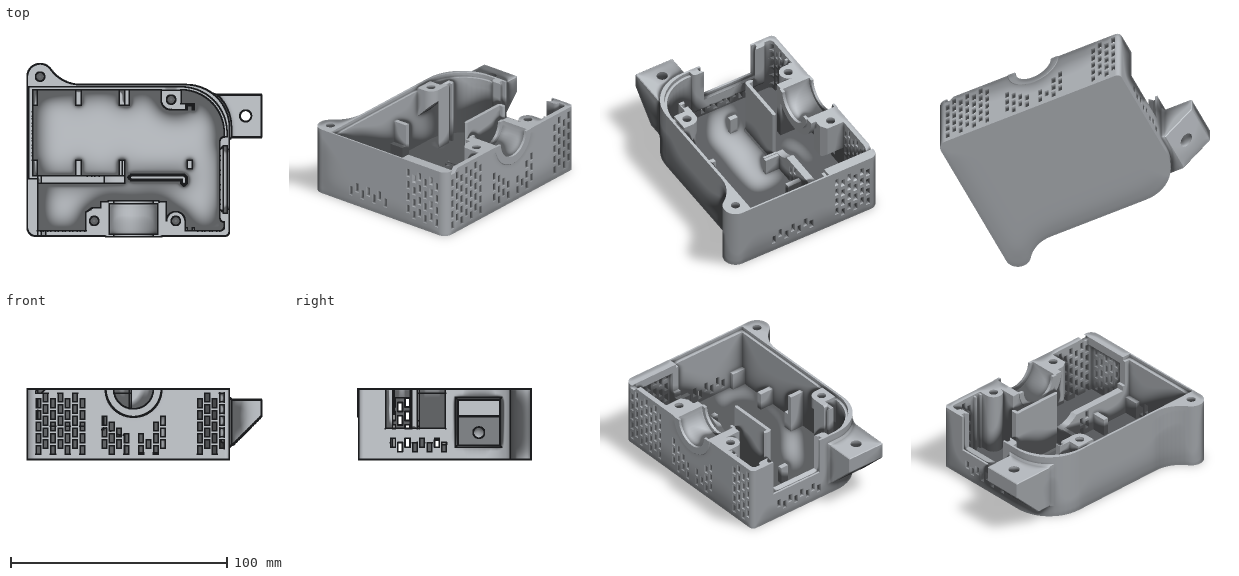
import cadquery as cq
import math

EPS = 0.01
OVER = 5.0

BODY_L = 93.65
BODY_W = 70.25
HEIGHT = 32.7
WALL = 2.5
CURVED_WALL = 2.4
FLOOR = 2.5
THICK_LEFT = 5.0
OVERHANG_Z = 28.6
DIVIDER_FRONT = 24.5

CORNER_R = 20.0
CORNER_X = BODY_L - CORNER_R
CORNER_Y = BODY_W - CORNER_R
FRONT_LEFT_R = 4.0
FRONT_RIGHT_R = 2.3

LUG_R = 6.0
LUG_Y = 73.89
LUG_BLEND_X = 24.6

INNER_BACK = BODY_W - CURVED_WALL
INNER_RIGHT = BODY_L - CURVED_WALL
INNER_R = CORNER_R
INNER_X = INNER_RIGHT - INNER_R
INNER_Y = INNER_BACK - INNER_R
PILLAR_X = 89.25
PILLAR_FRONT = 6.5
PILLAR_BACK = 46.0
PILLAR_R = INNER_RIGHT - PILLAR_X

LEDGE_Z = 30.8
RIM_LEFT = 0.75
RIM = 1.05
LEDGE_FRONT = 26.5
BAY_FRONT = 28.0

SCREW_D = 4.2
SCREW_DEPTH = 7.0
BASE_Z = FLOOR - EPS

BORE_X = 49.25
BORE_R = 11.2
BORE_LIP_R = 9.2
LIP_FRONT = 0.9
LIP_BACK = 15.1
SADDLE_R = 15.25
SADDLE_BACK = 15.85
RING_FRONT_R = 13.1
RING_FRONT_OUT = 0.3
RING_BACK_R = 11.75
RING_BACK_END = 16.5

BRACKET_END = 108.65
BRACKET_Y0 = 45.7
BRACKET_Y1 = 65.7
BRACKET_TOP = 27.9
BRACKET_TIP_Z = 20.0
BRACKET_LOW_Z = 6.6
BRACKET_HOLE_X = 101.15
BRACKET_HOLE_D = 5.2
BRACKET_CHAMFER = 0.35
BRACKET_FLARE = 1.0

VENT_W = 2.1
VENT_PITCH = 3.4
SIDE_VENT_H = 4.1
SIDE_EVEN_Z = 3.7
SIDE_ODD_Z = 5.75


def block(x0, x1, y0, y1, z0, z1):
    return cq.Workplane("XY").box(x1 - x0, y1 - y0, z1 - z0, centered=False).translate((x0, y0, z0))


def y_cylinder(radius, y0, y1):
    """Lower half of a cylinder along Y whose axis is the bore axis."""
    rod = cq.Workplane("XZ", origin=(BORE_X, y0, HEIGHT)).circle(radius).extrude(y0 - y1)
    lower = block(BORE_X - radius, BORE_X + radius, y0, y1, HEIGHT - radius, HEIGHT)
    return rod.intersect(lower)


def prism_xz(points, y0, y1):
    return cq.Workplane("XZ", origin=(0, y0, 0)).polyline(points).close().extrude(y0 - y1)


def prism_xy(points, z0, z1):
    return cq.Workplane("XY", origin=(0, 0, z0)).polyline(points).close().extrude(z1 - z0)


def arc_point(cx, cy, radius, degrees):
    """Point on a circle at an angle from +X."""
    a = math.radians(degrees)
    return (cx + radius * math.cos(a), cy + radius * math.sin(a))


def outer_body():
    run = LUG_BLEND_X - LUG_R
    drop = LUG_Y - BODY_W
    blend_r = (run ** 2 + drop ** 2 - LUG_R ** 2) / (2 * (LUG_R + drop))
    blend_y = BODY_W + blend_r
    touch_angle = math.degrees(math.atan2(blend_y - LUG_Y, run))
    touch = arc_point(LUG_R, LUG_Y, LUG_R, touch_angle)
    front_right_mid = arc_point(BODY_L - FRONT_RIGHT_R, FRONT_RIGHT_R, FRONT_RIGHT_R, -45)
    blend_mid = arc_point(LUG_BLEND_X, blend_y, blend_r, (touch_angle + 180 + 270) / 2)
    return (
        cq.Workplane("XY")
        .moveTo(FRONT_LEFT_R, 0)
        .lineTo(BODY_L - FRONT_RIGHT_R, 0)
        .threePointArc(front_right_mid, (BODY_L, FRONT_RIGHT_R))
        .lineTo(BODY_L, CORNER_Y)
        .threePointArc(arc_point(CORNER_X, CORNER_Y, CORNER_R, 45), (CORNER_X, BODY_W))
        .lineTo(LUG_BLEND_X, BODY_W)
        .threePointArc(blend_mid, touch)
        .threePointArc(arc_point(LUG_R, LUG_Y, LUG_R, (touch_angle + 180) / 2), (0, LUG_Y))
        .lineTo(0, FRONT_LEFT_R)
        .threePointArc(arc_point(FRONT_LEFT_R, FRONT_LEFT_R, FRONT_LEFT_R, 225), (FRONT_LEFT_R, 0))
        .close()
        .extrude(HEIGHT)
    )


def add_bracket(body):
    level_x = BRACKET_END - (BRACKET_TIP_Z - BRACKET_LOW_Z)
    profile = [
        (CORNER_X, BRACKET_TOP),
        (BRACKET_END, BRACKET_TOP),
        (BRACKET_END, BRACKET_TIP_Z),
        (level_x, BRACKET_LOW_Z),
        (CORNER_X, BRACKET_LOW_Z),
    ]
    joined = body.union(prism_xz(profile, BRACKET_Y0, BRACKET_Y1))
    seam = cq.selectors.BoxSelector(
        (CORNER_X, BRACKET_Y0 - EPS, EPS),
        (BODY_L + EPS, BRACKET_Y1 + EPS, HEIGHT - EPS),
        boundingbox=True,
    )
    flared = joined.edges(seam).chamfer(BRACKET_FLARE)
    free_edges = cq.selectors.BoxSelector(
        (level_x + EPS, BRACKET_Y0 - EPS, EPS),
        (BRACKET_END + EPS, BRACKET_Y1 + EPS, HEIGHT),
    )
    flared = flared.edges(free_edges).chamfer(BRACKET_CHAMFER)
    mid_y = (BRACKET_Y0 + BRACKET_Y1) / 2
    hole = (
        cq.Workplane("XY", origin=(BRACKET_HOLE_X, mid_y, 0))
        .circle(BRACKET_HOLE_D / 2)
        .extrude(HEIGHT)
    )
    return flared.cut(hole)


def cavity():
    corner_y = WALL + PILLAR_R
    pillar_y0 = PILLAR_FRONT + PILLAR_R
    pillar_y1 = PILLAR_BACK - PILLAR_R
    return (
        cq.Workplane("XY", origin=(0, 0, FLOOR))
        .moveTo(THICK_LEFT, WALL)
        .lineTo(PILLAR_X, WALL)
        .threePointArc(arc_point(PILLAR_X, corner_y, PILLAR_R, -45), (INNER_RIGHT, corner_y))
        .lineTo(INNER_RIGHT, PILLAR_FRONT)
        .threePointArc(arc_point(INNER_RIGHT, pillar_y0, PILLAR_R, 225), (PILLAR_X, pillar_y0))
        .lineTo(PILLAR_X, pillar_y1)
        .threePointArc(arc_point(INNER_RIGHT, pillar_y1, PILLAR_R, 135), (INNER_RIGHT, PILLAR_BACK))
        .lineTo(INNER_RIGHT, INNER_Y)
        .threePointArc(arc_point(INNER_X, INNER_Y, INNER_R, 45), (INNER_X, INNER_BACK))
        .lineTo(WALL, INNER_BACK)
        .lineTo(WALL, BAY_FRONT)
        .lineTo(THICK_LEFT, BAY_FRONT)
        .close()
        .extrude(HEIGHT)
    )


def left_recess():
    """Below its top the thickened part of the left wall is hollowed out to plain wall thickness."""
    return block(WALL, THICK_LEFT, WALL, DIVIDER_FRONT, FLOOR, OVERHANG_Z)


def lid_ledge():
    rim_r = INNER_R + CURVED_WALL - RIM
    return (
        cq.Workplane("XY", origin=(0, 0, LEDGE_Z))
        .moveTo(RIM_LEFT, LEDGE_FRONT)
        .lineTo(RIM_LEFT, BODY_W - RIM)
        .lineTo(INNER_X, BODY_W - RIM)
        .threePointArc(arc_point(INNER_X, INNER_Y, rim_r, 45), (BODY_L - RIM, INNER_Y))
        .lineTo(BODY_L - RIM, PILLAR_BACK)
        .lineTo(THICK_LEFT, PILLAR_BACK)
        .lineTo(THICK_LEFT, LEDGE_FRONT)
        .close()
        .extrude(HEIGHT)
    )


def latch_notch():
    """Slanted notch through the top of the front wall, beside the left corner."""
    depth = HEIGHT - LEDGE_Z
    floor_end = 6.6
    undercut = 1.0
    points = [
        (THICK_LEFT, HEIGHT),
        (THICK_LEFT - undercut, HEIGHT - undercut),
        (THICK_LEFT - undercut, LEDGE_Z),
        (floor_end, LEDGE_Z),
        (floor_end + depth, HEIGHT),
    ]
    return prism_xz(points, -EPS, WALL)


def pillar_undercut():
    """Below the panel window the right wall is thin again, under a rounded edge."""
    edge_z = 7.8
    edge_r = PILLAR_R
    return (
        cq.Workplane("XZ", origin=(0, PILLAR_FRONT, 0))
        .moveTo(PILLAR_X - EPS, FLOOR)
        .lineTo(INNER_RIGHT, FLOOR)
        .lineTo(INNER_RIGHT, edge_z)
        .threePointArc(arc_point(INNER_RIGHT, edge_z + edge_r, edge_r, 225), (PILLAR_X, edge_z + edge_r))
        .lineTo(PILLAR_X - EPS, edge_z + edge_r)
        .close()
        .extrude(PILLAR_FRONT - PILLAR_BACK)
    )


def panel_window():
    """Window in the right wall, open at the top, with a groove that holds a sliding panel."""
    window_y0, window_y1 = 12.5, 40.2
    sill_z = 14.4
    groove_x0, groove_x1 = 90.7, 92.6
    groove_depth = 1.8
    flank = groove_x0 - PILLAR_X
    top = HEIGHT + OVER
    groove_y0 = window_y0 - groove_depth
    groove_y1 = window_y1 + groove_depth
    groove_z = sill_z - groove_depth
    window = block(PILLAR_X - OVER, BODY_L + OVER, window_y0, window_y1, sill_z, top)
    groove = block(groove_x0, groove_x1, groove_y0, groove_y1, groove_z, top)
    flank_z = sill_z - flank
    centre = (groove_x0, (window_y0 + window_y1) / 2, (flank_z + top) / 2)
    sloped_flank = (
        cq.Workplane("YZ", origin=centre)
        .rect(window_y1 - window_y0 + 2 * flank, top - flank_z)
        .extrude(-flank, taper=45)
    )
    return window.union(groove).union(sloped_flank)


BOSS_EDGE_Z = 16.1
BOSS_LOW_Z = 13.9
LEFT_BOSS_X = 27.2
RIGHT_BOSS_X = 73.1
LEFT_SCREW = (31.05, 7.1)
RIGHT_SCREW = (68.8, 7.1)
BACK_SCREW = (66.65, 63.25)
LUG_SCREW = (LUG_R, LUG_Y)


def front_left_boss():
    """Boss with a cut corner, a flat underside and a 45 degree slope at its outer side."""
    inner_x = 35.5
    back_y = 13.3
    side_y = 11.1
    slant_x = 30.4
    wall_y = WALL - EPS
    plan = [
        (LEFT_BOSS_X, wall_y),
        (LEFT_BOSS_X, side_y),
        (slant_x, back_y),
        (inner_x, back_y),
        (inner_x, wall_y),
    ]
    elevation = [
        (LEFT_BOSS_X, HEIGHT),
        (LEFT_BOSS_X, BOSS_EDGE_Z),
        (LEFT_BOSS_X + BOSS_EDGE_Z - BOSS_LOW_Z, BOSS_LOW_Z),
        (inner_x, BOSS_LOW_Z),
        (inner_x, HEIGHT),
    ]
    return prism_xy(plan, 0, HEIGHT).intersect(prism_xz(elevation, 0, back_y))


def front_right_boss():
    """Boss and saddle leg that stand on the floor."""
    leg_x0 = 61.2
    leg_x1 = BORE_X + SADDLE_R
    screw_x, screw_y = RIGHT_SCREW
    radius = RIGHT_BOSS_X - screw_x
    height = HEIGHT - BASE_Z
    round_end = cq.Workplane("XY", origin=(screw_x, screw_y, BASE_Z)).circle(radius).extrude(height)
    base = block(leg_x1 - EPS, RIGHT_BOSS_X, WALL - EPS, screw_y, BASE_Z, HEIGHT)
    leg = block(leg_x0, leg_x1, WALL - EPS, SADDLE_BACK, BASE_Z, HEIGHT)
    return round_end.union(base).union(leg)


def back_boss():
    """Boss on the back wall with a 45 degree underside and a rounded front left corner."""
    x0, x1 = 62.0, 71.3
    front_y = 58.6
    lid_gap = 0.35
    wall_z = 17.8
    corner_r = 4.6
    depth = INNER_BACK - front_y
    boss = block(x0, x1, front_y, INNER_BACK + EPS, 0, HEIGHT)
    boss = boss.edges("|Z and <X and <Y").fillet(corner_r)
    underside = (
        cq.Workplane("YZ", origin=(x0, 0, 0))
        .polyline([
            (INNER_BACK + EPS, HEIGHT),
            (INNER_BACK + EPS, wall_z),
            (front_y, wall_z + depth),
            (front_y, HEIGHT),
        ])
        .close()
        .extrude(x1 - x0)
    )
    return boss.intersect(underside).cut(block(x0, x1, INNER_BACK - lid_gap, BODY_W, LEDGE_Z, HEIGHT))


def bore_saddle():
    saddle = y_cylinder(SADDLE_R, WALL - EPS, SADDLE_BACK)
    front_ring = y_cylinder(RING_FRONT_R, -RING_FRONT_OUT, WALL)
    front_ring = front_ring.edges("<Y and %CIRCLE").chamfer(RING_FRONT_OUT - EPS)
    back_ring = y_cylinder(RING_BACK_R, SADDLE_BACK - EPS, RING_BACK_END)
    return saddle.union(front_ring).union(back_ring)


def bore():
    through = y_cylinder(BORE_LIP_R, -OVER, RING_BACK_END + OVER)
    return through.union(y_cylinder(BORE_R, LIP_FRONT, LIP_BACK))


def screw_holes():
    return (
        cq.Workplane("XY", origin=(0, 0, HEIGHT))
        .pushPoints([LEFT_SCREW, RIGHT_SCREW, BACK_SCREW, LUG_SCREW])
        .circle(SCREW_D / 2)
        .extrude(-SCREW_DEPTH)
    )


REST_Z = 11.2
REST_FRONT_Y = 35.2
REST_BACK_Y = 60.7
STOP_X0 = 42.6
STOP_X1 = 45.2


def battery_rests():
    left_end = 4.7
    middle_x0, middle_x1 = 22.6, 25.1
    front_stop_x, front_stop_z = 44.1, 11.6
    back_stop_x, back_stop_z = 47.3, 21.9
    rests = cq.Workplane("XY")
    for x0, x1 in [(WALL - EPS, left_end), (middle_x0, middle_x1), (STOP_X0, STOP_X1)]:
        pair = block(x0, x1, BAY_FRONT - EPS, REST_FRONT_Y, BASE_Z, REST_Z)
        pair = pair.union(block(x0, x1, REST_BACK_Y, INNER_BACK + EPS, BASE_Z, REST_Z))
        rests = rests.add(pair)
    rests = rests.combine()
    front_stop = block(front_stop_x, STOP_X1, BAY_FRONT - EPS, REST_FRONT_Y, BASE_Z, front_stop_z)
    back_stop = block(STOP_X1 - EPS, back_stop_x, REST_BACK_Y, INNER_BACK + EPS, BASE_Z, back_stop_z)
    return rests.union(front_stop).union(back_stop)


def battery_divider():
    """Low wall in front of the battery bay whose top sweeps down to the rests."""
    wall_z = 15.4
    sweep_x = 35.8
    end_z, end_x = 18.0, 6.45
    run = STOP_X1 - sweep_x
    drop = wall_z - REST_Z
    sweep_r = (run ** 2 + drop ** 2) / (2 * drop)
    half_angle = math.degrees(math.asin(run / sweep_r)) / 2
    sweep_mid = arc_point(STOP_X1, REST_Z + sweep_r, sweep_r, 270 - half_angle)
    wall = (
        cq.Workplane("XZ", origin=(0, DIVIDER_FRONT, 0))
        .moveTo(THICK_LEFT - EPS, BASE_Z)
        .lineTo(THICK_LEFT - EPS, wall_z)
        .lineTo(sweep_x, wall_z)
        .threePointArc(sweep_mid, (STOP_X1, REST_Z))
        .lineTo(STOP_X1, BASE_Z)
        .close()
        .extrude(DIVIDER_FRONT - BAY_FRONT)
    )
    return wall.union(block(THICK_LEFT - EPS, end_x, DIVIDER_FRONT, BAY_FRONT, BASE_Z, end_z))


def hooked_rib():
    """Tall thin wall with a short hook at its right end and a sloped foot."""
    x0, x1 = 48.2, 72.6
    y_main, y_hook = 27.2, 24.7
    half = 0.85
    foot = 0.75

    def outline(h):
        return [
            (x0 - h, y_main),
            (x0, y_main - h),
            (x1 - h, y_main - h),
            (x1 - h, y_hook),
            (x1, y_hook - h),
            (x1 + h, y_hook),
            (x1 + h, y_main),
            (x1, y_main + h),
            (x0, y_main + h),
        ]

    wall = prism_xy(outline(half), BASE_Z, HEIGHT)
    base = (
        cq.Workplane("XY", origin=(0, 0, FLOOR))
        .polyline(outline(half + foot)).close()
        .workplane(offset=foot)
        .polyline(outline(half)).close()
        .loft(ruled=True)
    )
    return wall.union(base)


def board_guides():
    """Slots and a rest for a circuit board standing across the box."""
    slot_x0, slot_x1 = 74.15, 76.4
    cheek = 1.0
    back_y0, back_y1 = 58.6, 61.4
    slot_depth = 1.8
    plate_x = 66.6
    lead_in = 0.7
    thickness = back_y1 - back_y0
    plate = prism_xy(
        [
            (plate_x, back_y0),
            (slot_x1 + cheek, back_y0),
            (slot_x1 + cheek, back_y1),
            (plate_x + thickness, back_y1),
        ],
        BASE_Z,
        HEIGHT,
    )
    slot = block(slot_x0, slot_x1, back_y0 - EPS, back_y0 + slot_depth, FLOOR, HEIGHT)
    mouth = (
        cq.Workplane("XY", origin=((slot_x0 + slot_x1) / 2, back_y0, HEIGHT))
        .rect(slot_x1 - slot_x0 + 2 * lead_in, 2 * (slot_depth + lead_in))
        .extrude(-lead_in, taper=45)
    )
    guides = plate.cut(slot).cut(mouth)
    front_y = 4.0
    for cheek_x in (slot_x0 - cheek, slot_x1):
        guides = guides.union(block(cheek_x, cheek_x + cheek, WALL - EPS, front_y, BASE_Z, HEIGHT - lead_in))
    rest_y0 = 31.2
    return guides.union(block(slot_x0, slot_x1, rest_y0, REST_FRONT_Y, BASE_Z, REST_Z))


def front_vents():
    rows = {column: 5 for column in [*range(0, 7), *range(22, 26)]}
    rows.update({9: 3, 10: 3, 11: 2, 12: 2, 14: 2, 15: 1, 16: 3, 17: 3})
    return vent_grid(rows, 0, WALL + PILLAR_R)


def divider_vents():
    """Two columns of the same grid, through the battery divider behind the front wall."""
    return vent_grid({7: 2, 8: 2}, DIVIDER_FRONT, BAY_FRONT)


def vent_grid(rows, y0, y1):
    """Staggered openings along Y; rows gives the number of openings in each column."""
    first_x = 5.17
    height, row_pitch = 4.0, 5.4
    even_z, odd_z = 2.5, 5.15
    centres = []
    for column, count in rows.items():
        z0 = odd_z if column % 2 else even_z
        for row in range(count):
            centres.append((first_x + column * VENT_PITCH, z0 + row * row_pitch + height / 2))
    return (
        cq.Workplane("XZ", origin=(0, y0 - EPS, 0))
        .pushPoints(centres)
        .rect(VENT_W, height)
        .extrude(y0 - y1 - 2 * EPS)
    )


def left_vents():
    tall_height = 4.7
    tall_even_z, tall_odd_z = 6.9, 4.3
    front_group = side_vents(range(0, 6), 4, SIDE_VENT_H, SIDE_EVEN_Z, SIDE_ODD_Z, -EPS, THICK_LEFT)
    bay_group = side_vents(range(9, 16), 1, tall_height, tall_even_z, tall_odd_z, -EPS, THICK_LEFT)
    return front_group.union(bay_group)


def right_vents():
    """One row below the panel window."""
    return side_vents(range(3, 11), 1, SIDE_VENT_H, SIDE_EVEN_Z, SIDE_ODD_Z, PILLAR_X - EPS, BODY_L + EPS)


def side_vents(columns, count, height, even_z, odd_z, x0, x1):
    """Staggered openings along X between x0 and x1, with count openings in each column."""
    first_y = 5.67
    row_pitch = 6.2
    centres = []
    for column in columns:
        z0 = odd_z if column % 2 else even_z
        for row in range(count):
            centres.append((first_y + column * VENT_PITCH, z0 + row * row_pitch + height / 2))
    return cq.Workplane("YZ", origin=(x0, 0, 0)).pushPoints(centres).rect(VENT_W, height).extrude(x1 - x0)


shell = add_bracket(outer_body())
shell = shell.cut(cavity()).cut(lid_ledge()).cut(latch_notch()).cut(panel_window())
shell = shell.cut(pillar_undercut()).cut(left_recess())
shell = shell.cut(front_vents()).cut(left_vents()).cut(right_vents())

bosses = front_left_boss().union(front_right_boss()).union(back_boss()).union(bore_saddle())
divider = battery_divider().cut(divider_vents())
supports = battery_rests().union(divider).union(hooked_rib()).union(board_guides())

result = shell.union(bosses).union(supports).cut(bore()).cut(screw_holes())